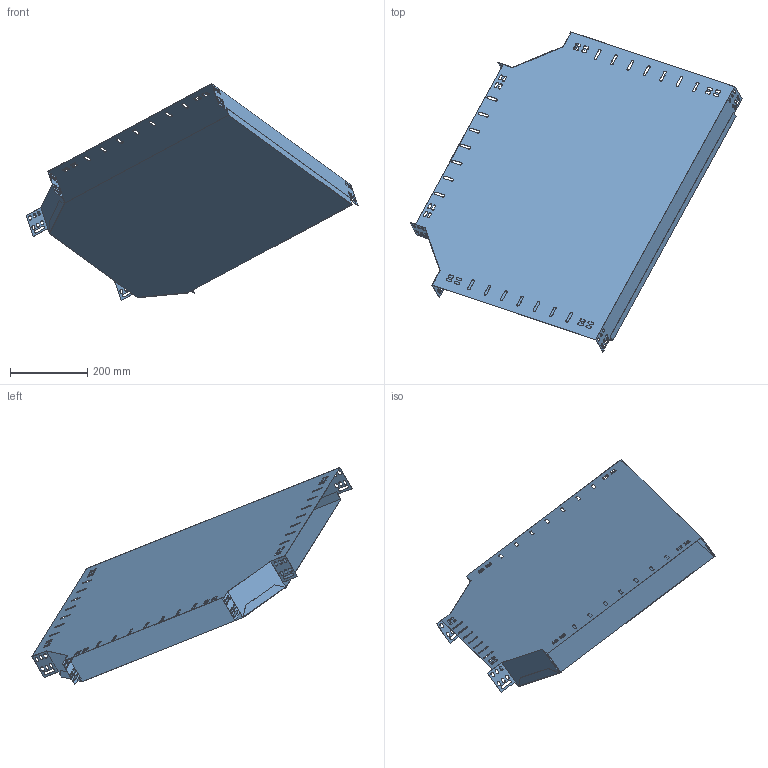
import cadquery as cq
import math


sheet = 0.75
tray_width = 500.0
tray_depth = 80.0
chamfer_run = 100.0
tab_length = 45.0
tab_height = 65.0 + sheet
branch_base_setback = 16.0

half_branch = tray_width / 2 + sheet
run_front = tray_width + 2 * sheet
half_run = half_branch + chamfer_run
branch_end = run_front + chamfer_run
run_tab_end = half_run + tab_length
branch_tab_end = branch_end + tab_length
branch_base_end = branch_tab_end - branch_base_setback
wall_height = tray_depth + sheet

tab_hole_width = 7.0
tab_hole_length = 12.0
tab_hole_columns = 3
tab_hole_pitch = 13.5
first_hole_offset = 9.5
upper_row_depth = 12.5
lower_row_depth = 42.5
tab_slot_depth = 56.0
tab_slot_length = 31.0
tab_slot_width = 7.5

base_hole_offset = 11.5
base_hole_pitch = 11.5
base_hole_width = 7.0
base_hole_length = 15.0
base_slot_offset = 9.5
base_slot_length = 30.0
base_slot_width = 7.0
base_slot_count = 7
base_slot_pitch = 50.0
group_distance = 201.5
group_pitch = 24.5

flange_height = 23.0
flange_cutback = flange_height

turn_x = -28.739
turn_y = 19.281
turn_z = 61.234

pivot = (0, branch_tab_end / 2, -wall_height / 2)

corner_inset = sheet * math.tan(math.radians(22.5))
corner_slant = sheet * math.sqrt(2)


def mirrored(points):
    """Close an outline given for U >= 0 with its mirror image."""
    return points + [(-u, v) for u, v in reversed(points)]


def both_sides(body):
    return body.union(body.mirror("YZ"))


def plate(points, bottom, thickness):
    return cq.Workplane("XY").workplane(offset=bottom).polyline(points).close().extrude(thickness)


def base_plate():
    outline = mirrored([
        (run_tab_end, 0),
        (run_tab_end, run_front),
        (half_run, run_front),
        (half_branch, branch_end),
        (half_branch, branch_base_end),
    ])
    return plate(outline, -sheet, sheet)


def back_wall():
    wall = cq.Workplane("XY").box(2 * half_run, sheet, wall_height, centered=(True, False, False))
    tabs = cq.Workplane("XY").box(2 * run_tab_end, sheet, tab_height, centered=(True, False, False))
    return wall.translate((0, 0, -wall_height)).union(tabs.translate((0, 0, -tab_height)))


def corner_wall():
    """Chamfer wall with the run tab and the branch tab bent off its two ends."""
    outer = [(half_run, run_front), (half_branch, branch_end)]
    inner = [
        (half_branch - sheet, branch_end - corner_inset),
        (half_run - corner_inset, run_front - sheet),
    ]
    tab_outline = (
        [(run_tab_end, run_front)]
        + outer
        + [(half_branch, branch_tab_end), (half_branch - sheet, branch_tab_end)]
        + inner
        + [(run_tab_end, run_front - sheet)]
    )
    full_depth = plate(outer + inner, -wall_height, wall_height)
    return full_depth.union(plate(tab_outline, -tab_height, tab_height))


def tab_cutter(plane, depth):
    """Holes of one tab; the plane's x axis runs outward from the wall end, its y axis along W."""
    columns = [first_hole_offset + i * tab_hole_pitch for i in range(tab_hole_columns)]
    holes = [(x, -row) for row in (upper_row_depth, lower_row_depth) for x in columns]
    cutter = cq.Workplane(plane).pushPoints(holes).slot2D(tab_hole_length, tab_hole_width, 90)
    cutter = cutter.extrude(depth, both=True)
    slot = cq.Workplane(plane).center(columns[1], -tab_slot_depth)
    return cutter.union(slot.slot2D(tab_slot_length, tab_slot_width).extrude(depth, both=True))


def base_cutter(middle, outward):
    """Slots and hole groups at one end of the base; `outward` points to that end."""
    plane = cq.Plane(origin=middle, xDir=outward, normal=(0, 0, 1))
    first = -(base_slot_count - 1) / 2
    slots = [(base_slot_offset, (first + i) * base_slot_pitch) for i in range(base_slot_count)]
    cutter = cq.Workplane(plane).pushPoints(slots).slot2D(base_slot_length, base_slot_width)
    cutter = cutter.extrude(sheet, both=True).translate((0, 0, -sheet / 2))
    holes = [
        (base_hole_offset + across * base_hole_pitch / 2, side * group_distance + along * group_pitch / 2)
        for side in (-1, 1)
        for along in (-1, 1)
        for across in (-1, 1)
    ]
    pairs = cq.Workplane(plane).pushPoints(holes).slot2D(base_hole_length, base_hole_width, 90)
    return cutter.union(pairs.extrude(sheet, both=True).translate((0, 0, -sheet / 2)))


def build_tray():
    tray = base_plate().union(back_wall()).union(both_sides(corner_wall()))
    run_middle = run_front / 2
    run_tabs = cq.Plane(origin=(half_run, run_middle, 0), xDir=(1, 0, 0), normal=(0, -1, 0))
    branch_tabs = cq.Plane(origin=(0, branch_end, 0), xDir=(0, 1, 0), normal=(1, 0, 0))
    tray = tray.cut(both_sides(tab_cutter(run_tabs, run_front)))
    tray = tray.cut(tab_cutter(branch_tabs, 2 * half_branch))
    tray = tray.cut(both_sides(base_cutter((half_run, run_middle, 0), (1, 0, 0))))
    return tray.cut(base_cutter((0, branch_end, 0), (0, 1, 0)))


def chamfer_flange():
    """Upturned edge over a chamfer wall, its ends cut back at 45 degrees."""
    length = chamfer_run * math.sqrt(2)
    plane = cq.Plane(
        origin=(half_run, run_front, -wall_height - sheet),
        xDir=(-1, 1, 0),
        normal=(1, 1, 0),
    )
    outline = [
        (0, 0),
        (length, 0),
        (length - flange_cutback, flange_height),
        (flange_cutback, flange_height),
    ]
    return cq.Workplane(plane).polyline(outline).close().extrude(sheet)


def build_cover():
    outline = mirrored([
        (half_run, -sheet),
        (half_run, run_front + corner_slant),
        (half_branch + corner_slant, branch_end),
    ])
    cover = plate(outline, -wall_height - sheet, sheet)
    back_flange = cq.Workplane("XY").box(
        2 * half_run, sheet, flange_height, centered=(True, False, False)
    ).translate((0, -sheet, -wall_height - sheet))
    return cover.union(back_flange).union(both_sides(chamfer_flange()))


def place(body):
    body = body.translate(tuple(-c for c in pivot))
    body = body.rotate((0, 0, 0), (1, 0, 0), turn_x)
    body = body.rotate((0, 0, 0), (0, 1, 0), turn_y)
    return body.rotate((0, 0, 0), (0, 0, 1), turn_z)


tray = place(build_tray())
cover = place(build_cover())
result = cq.Compound.makeCompound([tray.val(), cover.val()])